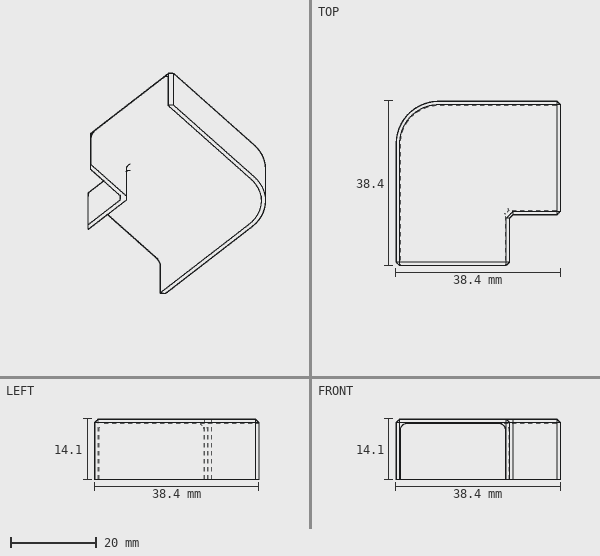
import cadquery as cq

side = 38.4
height = 14.1
arm_width = 26.55
outer_radius = 10.0

wall = 1.0
chamfer = 0.8
ceiling_fillet = 1.55

overrun = 3.85


def elbow(near, end, inner, bottom, top):
    """L-shaped block: back faces at `near`, arm ends at `end`, inside faces at `inner`.

    Distances run along +X and -Y from the outer corner of the elbow.
    """
    outline = [
        (near, -near),
        (end, -near),
        (end, -inner),
        (inner, -inner),
        (inner, -end),
        (near, -end),
    ]
    return cq.Workplane("XY").workplane(offset=bottom).polyline(outline).close().extrude(top - bottom)


def upright_edge(block, distance):
    """Upright edge of the block nearest the diagonal point (distance, -distance)."""
    nearest = cq.selectors.NearestToPointSelector((distance, -distance, height / 2))
    return block.edges("|Z").edges(nearest)


def make_body():
    """Solid elbow with a rounded back corner and chamfered uprights and top rim."""
    body = elbow(0, side, arm_width, 0, height)
    body = upright_edge(body, 0).fillet(outer_radius)

    tangent_uprights = [(0, -outer_radius), (outer_radius, 0)]
    uprights = body.edges("|Z")
    for x, y in tangent_uprights:
        tangent = cq.selectors.NearestToPointSelector((x, y, height / 2))
        uprights = uprights.edges(cq.selectors.InverseSelector(tangent))
    return uprights.add(body.faces(">Z").edges()).chamfer(chamfer)


def make_cavity():
    """Cutter open below and at both arm ends, with a rounded ceiling."""
    inner = arm_width - wall
    cavity = elbow(wall, side + overrun, inner, -overrun, height - wall)
    cavity = upright_edge(cavity, wall).fillet(outer_radius - wall)
    cavity = upright_edge(cavity, inner).chamfer(chamfer)
    return cavity.faces(">Z").edges().fillet(ceiling_fillet)


result = make_body().cut(make_cavity()).translate((-side / 2, side / 2, 0))